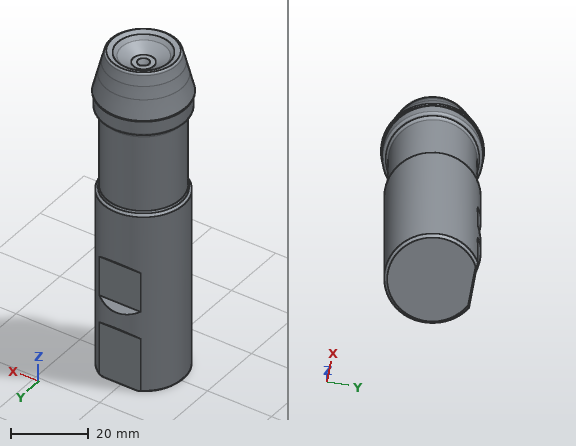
import cadquery as cq
import math

TOTAL_HEIGHT = 100.0
SEAT_HEIGHT = 86.9

SHANK_RADIUS = 12.5
SHANK_TOP = 56.0
END_CHAMFER = 0.8
NECK_RADIUS = 11.5
STEP_CHAMFER = 0.7
NECK_BASE_BLEND = 0.6
COLLAR_RADIUS = 13.0
COLLAR_BOTTOM = 82.0
COLLAR_ROUND = 0.9
COLLAR_TOP_CHAMFER = 0.2
COLLAR_ROOT_HEIGHT = 1.1

FLAT_Y = 10.7
UPPER_FLAT_BOTTOM = 25.9
UPPER_FLAT_TOP = 38.2
LOWER_FLAT_TOP = 17.3
FLAT_END_CHAMFER = 0.4

HEAD_DIAMETER = 26.7
HEAD_RADIUS = HEAD_DIAMETER / 2
HEAD_EDGE_HEIGHT = 87.3
HEAD_UNDERSIDE_RADIUS = 13.0
LOWER_BAND_RADIUS = 11.9
LOWER_BAND_HEIGHT = 93.0
UPPER_BAND_RADIUS = 11.0
UPPER_BAND_HEIGHT = 96.6
RIM_OUTER_RADIUS = 10.2
RIM_INNER_RADIUS = 9.6
RIM_ROUND = 0.5

DISH_EDGE_RADIUS = 8.0
DISH_EDGE_DEPTH = 0.5
DISH_WALL_RADIUS = 6.9
DISH_WALL_DEPTH = 1.5
DISH_FLOOR_RADIUS = 3.2
DISH_DEPTH = 3.6
CENTRE_RADIUS = 1.7
CENTRE_TIP_RADIUS = 0.7
CENTRE_DEPTH = 1.5


def revolve(profile):
    """Turn a closed (radius, height) profile about the Z axis."""
    return profile.close().revolve(360, (0, 0, 0), (0, 1, 0))


def flat_cutter(bottom, top):
    """Cut above one flat, opening outwards at 45 degrees at both ends."""
    depth = SHANK_RADIUS - FLAT_Y
    return (
        cq.Workplane("YZ")
        .polyline([
            (FLAT_Y, bottom),
            (FLAT_Y, top),
            (SHANK_RADIUS, top + depth),
            (SHANK_RADIUS, bottom - depth),
        ])
        .close()
        .extrude(SHANK_RADIUS, both=True)
    )


def make_holder():
    """Shank with two clamping flats, reduced neck and collar."""
    neck_base = SHANK_TOP + STEP_CHAMFER
    step_radius = SHANK_RADIUS - STEP_CHAMFER
    collar_inner = COLLAR_RADIUS - COLLAR_ROUND
    round_mid = COLLAR_ROUND * math.sqrt(0.5)
    profile = (
        cq.Workplane("XZ")
        .moveTo(0, 0)
        .lineTo(SHANK_RADIUS - END_CHAMFER, 0)
        .lineTo(SHANK_RADIUS, END_CHAMFER)
        .lineTo(SHANK_RADIUS, SHANK_TOP)
        .lineTo(step_radius, neck_base)
        .lineTo(NECK_RADIUS, neck_base + NECK_BASE_BLEND)
        .lineTo(NECK_RADIUS, COLLAR_BOTTOM - COLLAR_ROOT_HEIGHT)
        .tangentArcPoint((collar_inner, COLLAR_BOTTOM), relative=False)
        .threePointArc(
            (collar_inner + round_mid, COLLAR_BOTTOM + COLLAR_ROUND - round_mid),
            (COLLAR_RADIUS, COLLAR_BOTTOM + COLLAR_ROUND),
        )
        .lineTo(COLLAR_RADIUS, SEAT_HEIGHT - COLLAR_TOP_CHAMFER)
        .lineTo(COLLAR_RADIUS - COLLAR_TOP_CHAMFER, SEAT_HEIGHT)
        .lineTo(0, SEAT_HEIGHT)
    )
    holder = revolve(profile)
    depth = SHANK_RADIUS - FLAT_Y
    holder = holder.cut(flat_cutter(UPPER_FLAT_BOTTOM, UPPER_FLAT_TOP))
    holder = holder.cut(flat_cutter(-depth, LOWER_FLAT_TOP))
    return holder.faces("<Z").edges(">Y").chamfer(FLAT_END_CHAMFER)


def make_head():
    """Conical head with a dished top and a tapered centre hole."""
    dish_floor = TOTAL_HEIGHT - DISH_DEPTH
    profile = (
        cq.Workplane("XZ")
        .moveTo(0, SEAT_HEIGHT)
        .lineTo(HEAD_UNDERSIDE_RADIUS, SEAT_HEIGHT)
        .lineTo(HEAD_RADIUS, HEAD_EDGE_HEIGHT)
        .lineTo(LOWER_BAND_RADIUS, LOWER_BAND_HEIGHT)
        .lineTo(UPPER_BAND_RADIUS, UPPER_BAND_HEIGHT)
        .lineTo(RIM_OUTER_RADIUS, TOTAL_HEIGHT - RIM_ROUND)
        .tangentArcPoint((RIM_INNER_RADIUS, TOTAL_HEIGHT), relative=False)
        .lineTo(DISH_EDGE_RADIUS, TOTAL_HEIGHT - DISH_EDGE_DEPTH)
        .lineTo(DISH_WALL_RADIUS, TOTAL_HEIGHT - DISH_WALL_DEPTH)
        .lineTo(DISH_FLOOR_RADIUS, dish_floor)
        .lineTo(CENTRE_RADIUS, dish_floor)
        .lineTo(CENTRE_TIP_RADIUS, dish_floor - CENTRE_DEPTH)
        .lineTo(0, dish_floor - CENTRE_DEPTH)
    )
    return revolve(profile)


holder = make_holder()
head = make_head()

result = cq.Compound.makeCompound([holder.val(), head.val()])